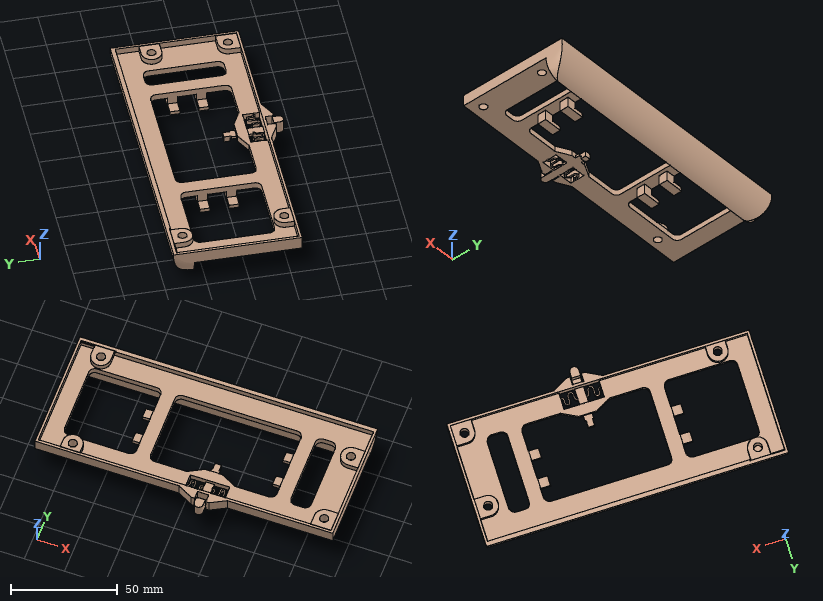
import cadquery as cq
import math

LENGTH = 148.6
WIDTH = 61.5
HEIGHT = 6.7
FLOOR = 3.4
WALL = 1.3
BACK_WALL = 2.2

LIP_DEPTH = 9.4
LIP_FRONT = 51.5
LIP_CURVE_TOP = 4.5

WINDOW_FRONT = 10.7
WINDOW_BACK = 49.3
WINDOW_RADIUS = 3.0
WINDOWS = [(10.0, 45.8), (52.9, 115.8), (122.9, 132.9)]

BOSS_RADIUS = 4.9
BOSS_TOP = 6.4
HOLE_DIAMETER = 4.2
BACK_BOSS = (13.1, 54.7)
FRONT_BOSS = (17.1, 5.2)
SIDE_BOSS = (142.0, 43.1)
CORNER_BOSS = (142.0, 6.5)

RELIEF_END = 18.6
RELIEF_DEPTH = 0.5
RELIEF_FLOOR = 5.6

HOOK_WIDTH = 4.9
HOOK_DEPTH = 5.8
HOOK_FOOT_HEIGHT = 2.4
HOOK_STEM = 5.0
HOOK_REACH = 5.4
HOOK_BEVEL_LENGTH = 1.5
HOOK_BEVEL_DROP = 0.3
HOOK_CENTERS_Y = (24.4, 38.3)

LATCH_X = 84.0
BULGE_BASE = 24.1
BULGE_TOP = 8.9
BULGE_HEIGHT = 4.0
OPENING_LENGTH = 19.6
OPENING_BACK = 9.4
BAR_WIDTH = 4.5
BAR_HEIGHT = 1.5
BAR_BACK = 17.2
BAR_TIP = -8.2
TIP_BACK = -3.1
NOTCH_WIDTH = 5.5
NUB_WIDTH = 3.3
NUB_FRONT = 17.7
NUB_BACK = 20.7
NUB_DROP = 1.8

SPRING_THICKNESS = 0.9
SPRING_HEIGHT = 2.5
SPRING_END_RADIUS = 1.3
SPRING_CREST_RADIUS = 1.11
SPRING_JOIN_Y = 6.5
SPRING_ANCHOR_Y = 3.9


def block(x0, x1, y0, y1, z0, z1):
    """Box given by its limits along each axis."""
    return cq.Workplane("XY").box(x1 - x0, y1 - y0, z1 - z0, centered=False).translate((x0, y0, z0))


def lip():
    """Back strip with a curved underside and rounded lower ends."""
    rise = LIP_CURVE_TOP + LIP_DEPTH
    run = WIDTH - LIP_FRONT
    radius = (run**2 + rise**2) / (2 * run)
    half_angle = math.asin(rise / radius) / 2
    arc_middle = (
        WIDTH - radius + radius * math.cos(half_angle),
        LIP_CURVE_TOP - radius * math.sin(half_angle),
    )
    strip = (
        cq.Workplane("YZ")
        .moveTo(LIP_FRONT, HEIGHT)
        .lineTo(WIDTH, HEIGHT)
        .lineTo(WIDTH, LIP_CURVE_TOP)
        .threePointArc(arc_middle, (LIP_FRONT, -LIP_DEPTH))
        .close()
        .extrude(LENGTH)
    )
    rounded_ends = (
        cq.Workplane("YZ")
        .center(LIP_FRONT, LIP_DEPTH)
        .circle(2 * LIP_DEPTH)
        .extrude(LENGTH)
        .edges()
        .fillet(LIP_DEPTH)
    )
    return strip.intersect(rounded_ends)


def tray():
    """Shallow open box with the lip along its back."""
    body = block(0, LENGTH, 0, LIP_FRONT, 0, HEIGHT).union(lip())
    return body.cut(block(WALL, LENGTH - WALL, WALL, WIDTH - BACK_WALL, FLOOR, HEIGHT))


def window(left, right):
    opening = block(left, right, WINDOW_FRONT, WINDOW_BACK, 0, FLOOR)
    return opening.edges("|Z").fillet(WINDOW_RADIUS)


def boss(center, corners):
    """Round boss joined to the nearby walls by a straight block between two corners."""
    (x0, y0), (x1, y1) = corners
    post = cq.Workplane("XY").center(*center).circle(BOSS_RADIUS).extrude(BOSS_TOP - FLOOR)
    return post.translate((0, 0, FLOOR)).union(block(x0, x1, y0, y1, FLOOR, BOSS_TOP))


def bosses():
    relief_wall = WIDTH - BACK_WALL + RELIEF_DEPTH
    right_wall = LENGTH - WALL
    bx, by = BACK_BOSS
    fx, fy = FRONT_BOSS
    sx, sy = SIDE_BOSS
    cx, cy = CORNER_BOSS
    r = BOSS_RADIUS
    back = boss(BACK_BOSS, ((bx - r, by), (bx + r, relief_wall)))
    front = boss(FRONT_BOSS, ((fx - r, WALL), (fx + r, fy)))
    side = boss(SIDE_BOSS, ((sx, sy - r), (right_wall, sy + r)))
    corner = boss(CORNER_BOSS, ((cx, WALL), (right_wall, cy + r)))
    corner = corner.union(block(cx - r, cx, WALL, cy, FLOOR, BOSS_TOP))
    return back.union(front).union(side).union(corner)


def hook(edge_x, center_y):
    """L-shaped hook whose foot reaches left under a window and slopes down at its end."""
    foot_top = HOOK_FOOT_HEIGHT - HOOK_DEPTH
    foot_end = edge_x - HOOK_REACH
    outline = [
        (edge_x, 0),
        (edge_x, foot_top),
        (foot_end + HOOK_BEVEL_LENGTH, foot_top),
        (foot_end, foot_top - HOOK_BEVEL_DROP),
        (foot_end, -HOOK_DEPTH),
        (edge_x + HOOK_STEM, -HOOK_DEPTH),
        (edge_x + HOOK_STEM, 0),
    ]
    profile = cq.Workplane("XZ").polyline(outline).close()
    return profile.extrude(HOOK_WIDTH / 2, both=True).translate((0, center_y, 0))


def bulge(base_y, top_y, height):
    """Trapezoid that widens the front rail around the latch."""
    outline = [
        (LATCH_X - BULGE_BASE / 2, base_y),
        (LATCH_X - BULGE_TOP / 2, top_y),
        (LATCH_X + BULGE_TOP / 2, top_y),
        (LATCH_X + BULGE_BASE / 2, base_y),
    ]
    return cq.Workplane("XY").polyline(outline).close().extrude(height)


def latch_bar():
    """Bar across the front rail, with a raised rounded tip and a nub at the back."""
    left = LATCH_X - BAR_WIDTH / 2
    right = LATCH_X + BAR_WIDTH / 2
    round_radius = BAR_WIDTH / 2
    bar = block(left, right, TIP_BACK, BAR_BACK, 0, BAR_HEIGHT)
    tip = (
        cq.Workplane("XY")
        .moveTo(left, TIP_BACK)
        .lineTo(left, BAR_TIP + round_radius)
        .radiusArc((LATCH_X, BAR_TIP), -round_radius)
        .radiusArc((right, BAR_TIP + round_radius), -round_radius)
        .lineTo(right, TIP_BACK)
        .close()
        .extrude(HEIGHT)
    )
    nub_left = LATCH_X - NUB_WIDTH / 2
    nub_right = LATCH_X + NUB_WIDTH / 2
    neck = block(nub_left, nub_right, BAR_BACK, NUB_BACK, 0, BAR_HEIGHT)
    nub = block(nub_left, nub_right, NUB_FRONT, NUB_BACK, -NUB_DROP, 0)
    return bar.union(tip).union(neck).union(nub)


def left_spring():
    """Thin serpentine strip from the left side of the opening to the bar."""
    r_end = SPRING_END_RADIUS
    r_crest = SPRING_CREST_RADIUS
    anchor_x = LATCH_X - OPENING_LENGTH / 2
    rise_x = anchor_x + r_end
    fall_x = rise_x + 2 * r_crest
    join_x = LATCH_X - BAR_WIDTH / 2
    last_x = join_x - r_end
    r_valley = (last_x - fall_x) / 2
    diagonal = math.sqrt(0.5)
    path = (
        cq.Workplane("XY")
        .moveTo(anchor_x, SPRING_ANCHOR_Y)
        .threePointArc(
            (anchor_x + r_end * diagonal, SPRING_ANCHOR_Y + r_end * (1 - diagonal)),
            (rise_x, SPRING_ANCHOR_Y + r_end),
        )
        .lineTo(rise_x, SPRING_JOIN_Y)
        .threePointArc((rise_x + r_crest, SPRING_JOIN_Y + r_crest), (fall_x, SPRING_JOIN_Y))
        .lineTo(fall_x, SPRING_ANCHOR_Y)
        .threePointArc((fall_x + r_valley, SPRING_ANCHOR_Y - r_valley), (last_x, SPRING_ANCHOR_Y))
        .lineTo(last_x, SPRING_JOIN_Y - r_end)
        .threePointArc(
            (join_x - r_end * diagonal, SPRING_JOIN_Y - r_end * (1 - diagonal)),
            (join_x, SPRING_JOIN_Y),
        )
    )
    section = cq.Workplane("YZ", origin=(anchor_x, SPRING_ANCHOR_Y, SPRING_HEIGHT / 2))
    return section.rect(SPRING_THICKNESS, SPRING_HEIGHT).sweep(path)


result = tray()
for left_edge, right_edge in WINDOWS:
    result = result.cut(window(left_edge, right_edge))

back_wall_face = WIDTH - BACK_WALL
result = result.cut(
    block(WALL, RELIEF_END, back_wall_face, back_wall_face + RELIEF_DEPTH, RELIEF_FLOOR, HEIGHT)
)
result = result.union(bosses())
hole_centers = [BACK_BOSS, FRONT_BOSS, SIDE_BOSS, CORNER_BOSS]
result = result.cut(
    cq.Workplane("XY").pushPoints(hole_centers).circle(HOLE_DIAMETER / 2).extrude(HEIGHT)
)

for _, right_edge in WINDOWS[:2]:
    for hook_y in HOOK_CENTERS_Y:
        result = result.union(hook(right_edge, hook_y))

result = result.union(bulge(0, -BULGE_HEIGHT, HEIGHT))
result = result.union(bulge(WINDOW_FRONT, WINDOW_FRONT + BULGE_HEIGHT, FLOOR))
half_opening = OPENING_LENGTH / 2
result = result.cut(
    block(LATCH_X - half_opening, LATCH_X + half_opening, WALL, OPENING_BACK, 0, FLOOR)
)
half_notch = NOTCH_WIDTH / 2
result = result.cut(
    block(LATCH_X - half_notch, LATCH_X + half_notch, -BULGE_HEIGHT, 0, 0, HEIGHT)
)
spring = left_spring()
mirrored_spring = spring.mirror("YZ", (LATCH_X, 0, 0))
result = result.union(latch_bar()).union(spring).union(mirrored_spring)